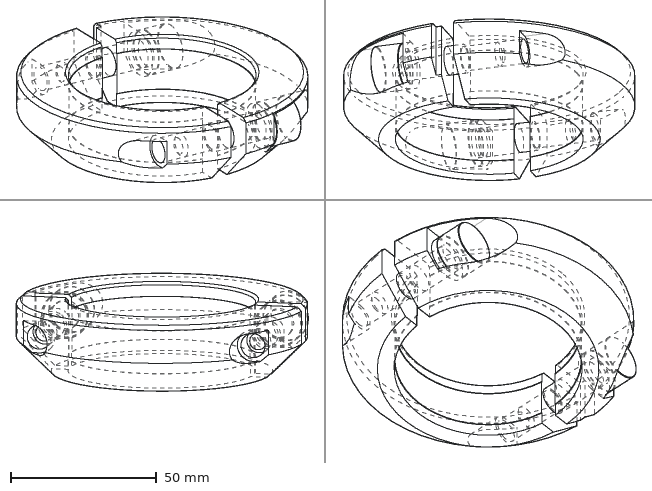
import cadquery as cq
OUTER_RADIUS = 50
HEIGHT = 25
CONE_HEIGHT = 12
OUTER_CHAMFER = 1.5
BORE_RADIUS = 32.2
LAND_RADIUS = 32
LAND_BOTTOM = 5
LAND_TOP = 20
BORE_CHAMFER = 1

BACK_FACE_Y = 2
FRONT_FACE_Y = -4
NOTCH_DEPTH = 2
NOTCH_WIDTH = 5

SIDES = (-1, 1)
SCREW_X = 37.5
SCREW_Z = 15
SHANK_RADIUS = 5
THREAD_RADIUS = 4.2
TIP_CHAMFER = 1.3
SCREW_LENGTH = 35
HEAD_RADIUS = 8
HEAD_LENGTH = 10
HEAD_CHAMFER = 0.2
WASHER_THICKNESS = 2.5

HEAD_SEAT_Y = 15
HEAD_POCKET_RADIUS = HEAD_RADIUS
TIP_SEAT_Y = -25.6
TIP_POCKET_RADIUS = 5.5


def cylinder_along_y(side, radius, y_start, y_end):
    """Cylinder on the screw axis at the given side, from y_start up to y_end."""
    return (
        cq.Workplane("XZ", origin=(side * SCREW_X, y_end, SCREW_Z))
        .circle(radius)
        .extrude(y_end - y_start)
    )


def rim_pocket(side, radius, y_start, y_end):
    """U-shaped channel along Y, rounded inward and open to the outside of the rim."""
    channel = cq.Workplane("XY").box(
        OUTER_RADIUS, y_end - y_start, 2 * radius, centered=(False, False, True)
    )
    if side < 0:
        channel = channel.translate((-OUTER_RADIUS, 0, 0))
    channel = channel.translate((side * SCREW_X, y_start, SCREW_Z))
    return cylinder_along_y(side, radius, y_start, y_end).union(channel)


def make_ring():
    """Full ring, revolved from its half section."""
    return (
        cq.Workplane("XZ")
        .moveTo(BORE_RADIUS, 0)
        .lineTo(OUTER_RADIUS - CONE_HEIGHT, 0)
        .lineTo(OUTER_RADIUS, CONE_HEIGHT)
        .lineTo(OUTER_RADIUS, HEIGHT - OUTER_CHAMFER)
        .lineTo(OUTER_RADIUS - OUTER_CHAMFER, HEIGHT)
        .lineTo(BORE_RADIUS + BORE_CHAMFER, HEIGHT)
        .lineTo(BORE_RADIUS, HEIGHT - BORE_CHAMFER)
        .lineTo(BORE_RADIUS, LAND_TOP)
        .lineTo(LAND_RADIUS, LAND_TOP)
        .lineTo(LAND_RADIUS, LAND_BOTTOM)
        .lineTo(BORE_RADIUS, LAND_BOTTOM)
        .close()
        .revolve(360, (0, 0, 0), (0, 1, 0))
    )


def keep_block(y_start, y_end):
    """Block that keeps the part of the ring between two Y positions."""
    return cq.Workplane("XY").box(
        2 * OUTER_RADIUS, y_end - y_start, HEIGHT, centered=(True, False, False)
    ).translate((0, y_start, 0))


def make_back_half():
    """Half with the head pockets, the shank holes and the edge notch."""
    half = make_ring().intersect(keep_block(BACK_FACE_Y, OUTER_RADIUS))
    for side in SIDES:
        half = half.cut(rim_pocket(side, HEAD_POCKET_RADIUS, HEAD_SEAT_Y, OUTER_RADIUS))
        half = half.cut(cylinder_along_y(side, SHANK_RADIUS, BACK_FACE_Y, HEAD_SEAT_Y))
    notch = (
        cq.Workplane("XY")
        .box(NOTCH_WIDTH, NOTCH_DEPTH, HEIGHT, centered=False)
        .translate((-OUTER_RADIUS, BACK_FACE_Y, 0))
    )
    return half.cut(notch)


def make_front_half():
    """Half with the threaded holes and the pockets at the screw tips."""
    half = make_ring().intersect(keep_block(-OUTER_RADIUS, FRONT_FACE_Y))
    for side in SIDES:
        half = half.cut(rim_pocket(side, TIP_POCKET_RADIUS, -OUTER_RADIUS, TIP_SEAT_Y))
        half = half.cut(cylinder_along_y(side, THREAD_RADIUS, TIP_SEAT_Y, FRONT_FACE_Y))
    return half


def make_washer(side):
    """Washer on the floor of the head pocket."""
    seat_top = HEAD_SEAT_Y + WASHER_THICKNESS
    disc = cylinder_along_y(side, HEAD_RADIUS, HEAD_SEAT_Y, seat_top)
    return disc.cut(cylinder_along_y(side, SHANK_RADIUS, HEAD_SEAT_Y, seat_top))


def make_screw(side):
    """Cylindrical head, plain shank up to the front half, then the thinner threaded end."""
    head_bottom = HEAD_SEAT_Y + WASHER_THICKNESS
    head = (
        cylinder_along_y(side, HEAD_RADIUS, head_bottom, head_bottom + HEAD_LENGTH)
        .faces("<Y or >Y")
        .chamfer(HEAD_CHAMFER)
    )
    shank = cylinder_along_y(side, SHANK_RADIUS, FRONT_FACE_Y, head_bottom)
    thread = (
        cylinder_along_y(side, THREAD_RADIUS, head_bottom - SCREW_LENGTH, FRONT_FACE_Y)
        .faces("<Y")
        .chamfer(TIP_CHAMFER)
    )
    return head.union(shank).union(thread)


back_half = make_back_half()
front_half = make_front_half()
washers = [make_washer(side) for side in SIDES]
screws = [make_screw(side) for side in SIDES]

result = cq.Compound.makeCompound(
    [
        back_half.val(),
        front_half.val(),
        *[washer.val() for washer in washers],
        *[screw.val() for screw in screws],
    ]
)